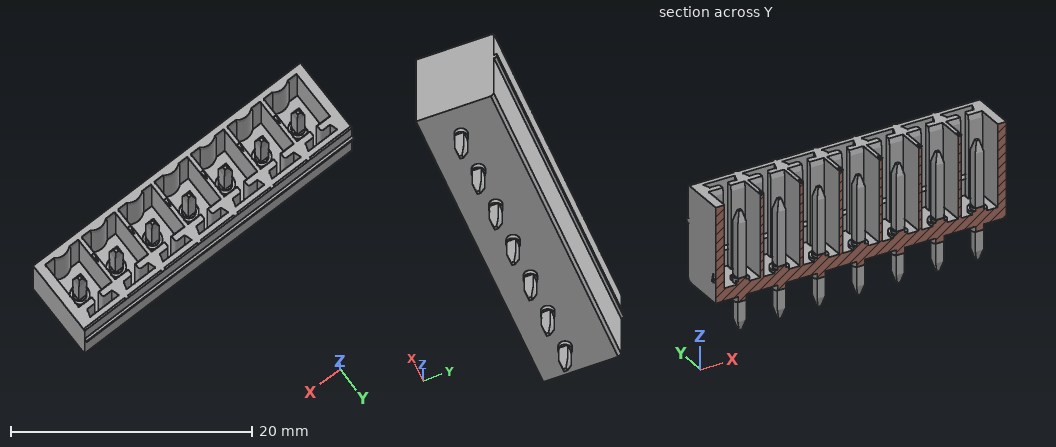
import cadquery as cq
import math

pole_count = 7
pitch = 3.82
housing_length = 28.05
housing_height = 9.2
front_y = -3.0
back_y = 3.98
back_bottom_chamfer_depth = 0.28
back_bottom_chamfer_height = 0.25

rail_depth = 0.25
rail_top_z = 6.0
rail_root_height = 0.5
rail_edge_height = 0.42

bevel_depth = 0.17
bevel_drop = 0.07

divider_thickness = 0.36
pocket_width = pitch - divider_thickness
floor_z = 1.25
pocket_front_y = -2.3
pocket_back_y = 2.0
front_lead_in = 0.15
back_lead_in = 0.1
lead_in_height = 0.5
key_centre_y = -3.3
key_radius = 1.32

slot_floor_z = 2.8
slot_front_y = 2.67
slot_back_y = 3.35
slot_front_width = 2.58
slot_back_width = 3.03
neck_width = 0.75
neck_corner_radius = 0.2

pin_width = 0.8
pin_tip_width = 0.28
pin_bottom_z = -3.4
pin_top_z = 8.0
pin_taper_height = 1.0
collar_diameter = 1.18
collar_height = 0.5
floor_boss_diameter = 1.65
floor_boss_height = 0.25
first_boss_flat = 0.53

arrow_length = 0.75
arrow_width = 0.35
arrow_depth = 0.08
end_arrow_base_z = 1.88
divider_arrow_base_y = -0.73

pole_xs = [(i - (pole_count - 1) / 2) * pitch for i in range(pole_count)]
divider_xs = [x + pitch / 2 for x in pole_xs[:-1]]


def make_housing():
    """Side profile with bottom bevel and back rail, extruded along the row."""
    rail_y = back_y + rail_depth
    profile = [
        (front_y, 0),
        (back_y - back_bottom_chamfer_depth, 0),
        (back_y, back_bottom_chamfer_height),
        (back_y, rail_top_z - rail_root_height),
        (rail_y, rail_top_z - rail_edge_height),
        (rail_y, rail_top_z),
        (back_y, rail_top_z),
        (back_y, housing_height),
        (front_y, housing_height),
    ]
    return cq.Workplane("YZ").polyline(profile).close().extrude(housing_length / 2, both=True)


def make_back_bevels():
    """Wedges that bevel the back top edge, leaving a rib behind each divider."""
    wedge = (
        cq.Workplane("YZ")
        .polyline([
            (back_y - bevel_depth, housing_height),
            (back_y, housing_height),
            (back_y, housing_height - bevel_drop),
        ])
        .close()
        .extrude(housing_length / 2, both=True)
    )
    rib = (
        cq.Workplane("XY", origin=(0, back_y, housing_height))
        .box(divider_thickness, 4 * bevel_depth, 4 * bevel_drop)
    )
    for x in divider_xs:
        wedge = wedge.cut(rib.translate((x, 0, 0)))
    return wedge


def pocket_outline(z, front_widening, back_widening):
    """Pocket outline at height z: a rectangle with a round key in its front side."""
    half_width = pocket_width / 2
    front = pocket_front_y - front_widening
    back = pocket_back_y + back_widening
    radius = key_radius - front_widening
    key_half_width = math.sqrt(radius**2 - (front - key_centre_y) ** 2)
    return (
        cq.Workplane("XY", origin=(0, 0, z))
        .moveTo(-half_width, front)
        .lineTo(-key_half_width, front)
        .threePointArc((0, key_centre_y + radius), (key_half_width, front))
        .lineTo(half_width, front)
        .lineTo(half_width, back)
        .lineTo(-half_width, back)
        .close()
    )


def make_pocket():
    """Plug pocket with lead-in, neck and dovetail slot for a pole at X = 0."""
    depth = housing_height - floor_z
    lead_in_z = housing_height - lead_in_height
    pocket = pocket_outline(floor_z, 0, 0).extrude(depth)
    lower_wire = pocket_outline(lead_in_z, 0, 0).val()
    upper_wire = pocket_outline(housing_height, front_lead_in, back_lead_in).val()
    lead_in_solid = cq.Solid.makeLoft([lower_wire, upper_wire], True)

    half_neck = neck_width / 2
    half_mouth = half_neck + neck_corner_radius
    corner_start_y = slot_front_y - neck_corner_radius
    neck = (
        cq.Workplane("XY", origin=(0, 0, floor_z))
        .moveTo(-half_neck, 0)
        .lineTo(half_neck, 0)
        .lineTo(half_neck, corner_start_y)
        .radiusArc((half_mouth, slot_front_y), neck_corner_radius)
        .lineTo(-half_mouth, slot_front_y)
        .radiusArc((-half_neck, corner_start_y), neck_corner_radius)
        .close()
        .extrude(depth)
    )
    slot = (
        cq.Workplane("XY", origin=(0, 0, slot_floor_z))
        .polyline([
            (-slot_front_width / 2, slot_front_y),
            (slot_front_width / 2, slot_front_y),
            (slot_back_width / 2, slot_back_y),
            (-slot_back_width / 2, slot_back_y),
        ])
        .close()
        .extrude(housing_height - slot_floor_z)
    )
    return pocket.union(cq.Workplane(lead_in_solid)).union(neck).union(slot)


def pin_taper(base_z, tip_z):
    """Square taper from the pin shank to its blunt tip."""
    return (
        cq.Workplane("XY", origin=(0, 0, base_z))
        .rect(pin_width, pin_width)
        .workplane(offset=tip_z - base_z)
        .rect(pin_tip_width, pin_tip_width)
        .loft(ruled=True)
    )


def cylinder_between(diameter, bottom_z, top_z):
    return cq.Workplane("XY", origin=(0, 0, bottom_z)).circle(diameter / 2).extrude(top_z - bottom_z)


def make_pin():
    """Square pin pointed at both ends, with a collar at each face of the floor."""
    shank_bottom = pin_bottom_z + pin_taper_height
    shank_top = pin_top_z - pin_taper_height
    shank = (
        cq.Workplane("XY", origin=(0, 0, shank_bottom))
        .rect(pin_width, pin_width)
        .extrude(shank_top - shank_bottom)
    )
    collar = cylinder_between(collar_diameter, -collar_height, floor_z + collar_height)
    lower_taper = pin_taper(shank_bottom, pin_bottom_z)
    upper_taper = pin_taper(shank_top, pin_top_z)
    return shank.union(collar).union(lower_taper).union(upper_taper)


def make_boss():
    """Round boss around the pin on the pocket floor."""
    return cylinder_between(floor_boss_diameter, 0, floor_z + floor_boss_height)


def flatten_boss(boss):
    """Cut the -X side of a boss to a flat that marks the first pole."""
    keep = cq.Workplane("XY").box(
        first_boss_flat + floor_boss_diameter,
        floor_boss_diameter,
        housing_height,
        centered=(False, True, False),
    )
    return boss.intersect(keep.translate((-first_boss_flat, 0, 0)))


def make_arrow(workplane):
    """Triangular arrow cut to arrow_depth on both sides of the workplane."""
    return (
        workplane
        .polyline([(-arrow_width / 2, 0), (arrow_width / 2, 0), (0, arrow_length)])
        .close()
        .extrude(arrow_depth, both=True)
    )


result = make_housing().cut(make_back_bevels())

pocket_cutter = make_pocket()
pin = make_pin()
plain_boss = make_boss()
first_boss = flatten_boss(plain_boss)
for x in pole_xs:
    boss = first_boss if x == pole_xs[0] else plain_boss
    result = result.cut(pocket_cutter.translate((x, 0, 0)))
    result = result.union(boss.translate((x, 0, 0)))
    result = result.union(pin.translate((x, 0, 0)))

end_arrow_plane = cq.Workplane("YZ", origin=(-housing_length / 2, 0, end_arrow_base_z))
result = result.cut(make_arrow(end_arrow_plane))
for x in divider_xs:
    divider_arrow_plane = cq.Workplane("XY", origin=(x, divider_arrow_base_y, housing_height))
    result = result.cut(make_arrow(divider_arrow_plane))